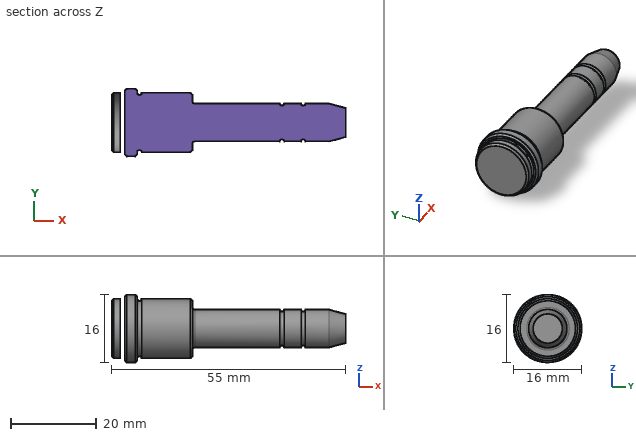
import cadquery as cq
import math

length = 55.0

head_radius = 14.0 / 2
head_length = 19.0
collar_radius = 16.0 / 2
collar_start = 3.0
collar_end = 6.0
edge_chamfer = 0.5

shank_radius = 9.0 / 2
taper_length = 4.0
taper_angle = 15.0
shoulder_fillet = 0.5

groove_radius = 0.5
shank_groove_centers = (40.0, 45.0)
collar_groove_centers = (collar_start - groove_radius, collar_end + groove_radius)


def cylinder(start, end, radius):
    """Solid cylinder along X between two stations."""
    return cq.Workplane("YZ", origin=(start, 0, 0)).circle(radius).extrude(end - start)


def round_groove(center, surface_radius):
    """Ring that cuts a semicircular groove into a cylinder of the given radius."""
    return (
        cq.Workplane("XY")
        .center(center, surface_radius)
        .circle(groove_radius)
        .revolve(360, (0, -surface_radius, 0), (1, -surface_radius, 0))
    )


tip_radius = shank_radius - taper_length * math.tan(math.radians(taper_angle))
fillet_foot = head_length + shoulder_fillet
fillet_top = shank_radius + shoulder_fillet
arc_offset = shoulder_fillet * (1 - math.sqrt(0.5))
shank = (
    cq.Workplane("XY")
    .moveTo(0, 0)
    .lineTo(0, fillet_top)
    .lineTo(head_length, fillet_top)
    .threePointArc(
        (head_length + arc_offset, shank_radius + arc_offset),
        (fillet_foot, shank_radius),
    )
    .lineTo(length - taper_length, shank_radius)
    .lineTo(length, tip_radius)
    .lineTo(length, 0)
    .close()
    .revolve(360, (0, 0, 0), (1, 0, 0))
)
for groove_center in shank_groove_centers:
    shank = shank.cut(round_groove(groove_center, shank_radius))

head = cylinder(0, head_length, head_radius).edges("%CIRCLE").chamfer(edge_chamfer)
for groove_center in collar_groove_centers:
    head = head.cut(round_groove(groove_center, head_radius))

collar = cylinder(collar_start, collar_end, collar_radius).edges("%CIRCLE").chamfer(edge_chamfer)

result = head.union(collar).union(shank)